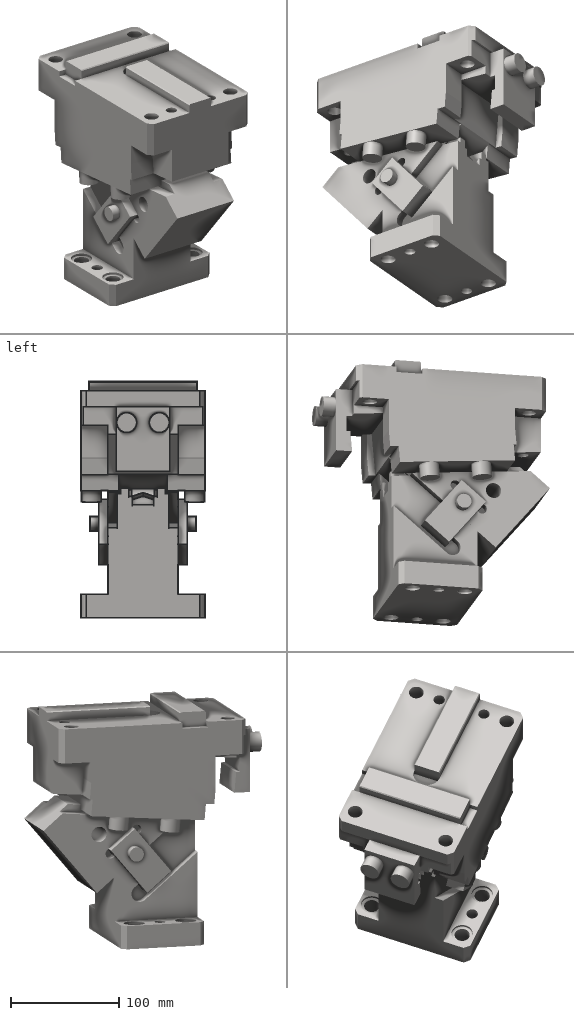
import cadquery as cq
import math


CAM_TILT = 5.0
SLOPE = 40.0
SLOPE_Z = 131.0
TOTAL_HEIGHT = 219.0
TOTAL_DEPTH = 115.0
HALF_WIDTH = TOTAL_DEPTH / 2
CORE_HALF = 32.5
NECK_HALF = 22.3
CORNER_CHAMFER = 4.8
KEY_CHAMFER = 0.9

CEILING_Z = 173.2
SPACER_Z = 149.0
GIB_TOP_Z = 133.2
GIB_BOTTOM_Z = 117.5
NECK_END_Z = 122.2
SHOULDER_Z = 114.8

BASE_LENGTH = 80.0
FOOT_HEIGHT = 22.0
TONGUE_HALF = 20.4
TONGUE_TOP = 120.0
RECESS_INNER = 23.9
RECESS_DEPTH = 36.4
RECESS_WALL_U = 66.8
RECESS_END_RADIUS = 7.9
RECESS_END_U = 96.8
BOLT_HOLE_Y = 45.1
FOOT_HOLE_SPACING = 49.5
FOOT_HOLE_RADIUS = 7.0
COUNTERBORE_RADIUS = 9.9
COUNTERBORE_DEPTH = 2.2
DOWEL_RADIUS = 5.3

GUIDE_HALF = 13.1
GUIDE_SLOT_DEPTH = 14.2
GUIDE_CORNER = 2.8
GUIDE_START_U = 17.7
GUIDE_END_U = 103.0
RAIL_HALF = 10.0
RAIL_START_U = 22.8
RAIL_RIDGE_DEPTH = 4.8
RAIL_EAVE_DEPTH = 9.2
RAIL_SEAT_DEPTH = 20.1

SLIDE_TIP_X = 148.5
SLIDE_TIP_Z = 110.8
CROSS_HOLE_X = 95.0
CROSS_HOLE_Z = 104.7
CROSS_HOLE_RADIUS = 7.2
KEEPER_START_U = 61.8
KEEPER_WIDTH = 30.0
KEEPER_TOP_V = 24.3
KEEPER_LENGTH = 54.3
KEEPER_OUTER = 41.0
PIN_END = 49.0
PIN_RADIUS = 6.8
PIN_V = 7.2
RELIEF_RADIUS = 4.5
RELIEF_OVERHANG = 1.5

PLATE_LEFT = -40.0
PLATE_RIGHT = 140.0
PLATE_TOP = 210.2
PLATE_BOTTOM = 178.0
CHEEK_LEFT = -10.0
CHEEK_RIGHT = 109.7
GIB_LEFT = -0.7
GIB_RIGHT = 108.5
PLATE_HOLE_RADIUS = 6.8
PLATE_HOLE_INSET = 14.7
SMALL_HOLE_Y = 22.3
GIB_BOLT_X = (30.2, 79.7)
GIB_BOLT_Y = 47.7
BOLT_HEAD_RADIUS = 9.2
GIB_BOLT_HEIGHT = 12.7
KEY_SEAT_Z = 205.0
CROSS_KEY_X = -2.6
CROSS_KEY_WIDTH = 24.7
CROSS_KEY_HALF = 50.2
LONG_KEY_X = 40.0
LONG_KEY_HALF = 12.5
HOOK_LEFT = -52.5
HOOK_SEAT_X = -37.5
HOOK_TOP = 195.1
HOOK_BOTTOM = 135.5
HOOK_HALF = 25.0
HOOK_NOTCH_TOP = 169.7
HOOK_NOTCH_BOTTOM = 155.0
HOOK_NOTCH_X = -42.7
HOOK_TOOTH_X = -39.2
HOOK_SCREW_Z = 180.7
HOOK_SCREW_Y = 15.1
HOOK_SCREW_HEIGHT = 11.5

RECESS_END_V = RECESS_END_RADIUS - RECESS_DEPTH
SLOT_TOP_V = RECESS_END_V + RECESS_END_RADIUS
TILT_TAN = math.tan(math.radians(CAM_TILT))
SLOPE_SIN = math.sin(math.radians(SLOPE))
SLOPE_COS = math.cos(math.radians(SLOPE))
SLOPE_TAN = SLOPE_SIN / SLOPE_COS

SLOPE_PLANE = cq.Plane(
    origin=(0, 0, SLOPE_Z), xDir=(SLOPE_COS, 0, -SLOPE_SIN), normal=(0, -1, 0)
)


def tilted(x, z_at_origin):
    """Point at x on the tilted plane that has the given height at X = 0."""
    return (x, z_at_origin + TILT_TAN * x)


def square_to_tilt(x, z_from, z_to):
    """Point on plane z_to reached square to the tilted planes from x on plane z_from."""
    shift = (z_to - z_from) * TILT_TAN / (1 + TILT_TAN**2)
    return tilted(x - shift, z_to)


def slope_meets(z_at_origin):
    """Point where the sliding plane crosses a tilted plane."""
    return tilted((SLOPE_Z - z_at_origin) / (SLOPE_TAN + TILT_TAN), z_at_origin)


def slab(points, half_width):
    """Profile in X and Z, extruded evenly to both sides of the plane of symmetry."""
    return cq.Workplane("XZ").polyline(points).close().extrude(half_width, both=True)


def span(length, half_width, bottom, top, left=0.0):
    """Box from left, centered in Y, between two heights."""
    box = cq.Workplane("XY").box(length, 2 * half_width, top - bottom, centered=(False, True, False))
    return box.translate((left, 0, bottom))


def on_both_sides(solid):
    """The solid together with its mirror image across Y = 0."""
    return solid.union(solid.mirror("XZ"))


def slope_block(u_start, u_end, v_bottom, v_top, y_inner, y_outer):
    """Block aligned with the slope on the -Y side, from y_inner out to y_outer."""
    return (
        cq.Workplane(SLOPE_PLANE)
        .workplane(offset=y_inner)
        .center((u_start + u_end) / 2, (v_bottom + v_top) / 2)
        .rect(u_end - u_start, v_top - v_bottom)
        .extrude(y_outer - y_inner)
    )


def slope_cylinder(u, v, radius, y_inner, y_outer):
    """Cylinder along Y on the -Y side, placed by its position on the slope."""
    return (
        cq.Workplane(SLOPE_PLANE)
        .workplane(offset=y_inner)
        .center(u, v)
        .circle(radius)
        .extrude(y_outer - y_inner)
    )


def slope_bar(section, u_start, u_end):
    """Bar running down the slope, with a section given as (Y, V) points."""
    start = SLOPE_PLANE.toWorldCoords((u_start, 0, 0))
    plane = cq.Plane(origin=start, xDir=(0, 1, 0), normal=(SLOPE_COS, 0, -SLOPE_SIN))
    return cq.Workplane(plane).polyline(section).close().extrude(u_end - u_start)


def slope_channel(half_width, v_bottom, v_top, u_start, u_end):
    """Rectangular bar running down the slope."""
    section = [(-half_width, v_bottom), (half_width, v_bottom), (half_width, v_top), (-half_width, v_top)]
    return slope_bar(section, u_start, u_end)


def base_foot():
    foot = span(BASE_LENGTH, HALF_WIDTH, 0, FOOT_HEIGHT).edges("|Z").chamfer(CORNER_CHAMFER)
    middle = BASE_LENGTH / 2
    bolt_points = [
        (middle + side * FOOT_HOLE_SPACING / 2, y)
        for side in (-1, 1)
        for y in (-BOLT_HOLE_Y, BOLT_HOLE_Y)
    ]
    top = foot.faces(">Z").workplane(origin=(0, 0, FOOT_HEIGHT))
    foot = top.pushPoints(bolt_points).cboreHole(
        2 * FOOT_HOLE_RADIUS, 2 * COUNTERBORE_RADIUS, COUNTERBORE_DEPTH
    )
    top = foot.faces(">Z").workplane(origin=(0, 0, FOOT_HEIGHT))
    return top.pushPoints([(middle, -BOLT_HOLE_Y), (middle, BOLT_HOLE_Y)]).hole(2 * DOWEL_RADIUS)


def base_column():
    """Column under the sliding plane, with a ledge on each side of its top tongue."""
    slope_foot = (BASE_LENGTH, SLOPE_Z - SLOPE_TAN * BASE_LENGTH)
    lower_corners = [slope_foot, (BASE_LENGTH, 0), (0, 0)]
    column = slab([(0, SHOULDER_Z), slope_meets(SHOULDER_Z)] + lower_corners, CORE_HALF)
    tongue_end = ((SLOPE_Z - TONGUE_TOP) / SLOPE_TAN, TONGUE_TOP)
    tongue = slab([(0, TONGUE_TOP), tongue_end] + lower_corners, TONGUE_HALF)
    return column.union(tongue)


def keeper_recess():
    """Side recess for the keeper, running on below into a round-ended slot for its foot."""
    outer = CORE_HALF + 2.2
    recess = slope_block(-BASE_LENGTH, RECESS_WALL_U, -RECESS_DEPTH, RECESS_DEPTH, RECESS_INNER, outer)
    slot = slope_block(0, RECESS_END_U, -RECESS_DEPTH, SLOT_TOP_V, RECESS_INNER, outer)
    slot_end = slope_cylinder(RECESS_END_U, RECESS_END_V, RECESS_END_RADIUS, RECESS_INNER, outer)
    return on_both_sides(recess.union(slot).union(slot_end))


def guide_rail():
    """Roof-shaped rail on the floor of the guide slot."""
    section = [
        (-RAIL_HALF, -RAIL_SEAT_DEPTH),
        (RAIL_HALF, -RAIL_SEAT_DEPTH),
        (RAIL_HALF, -RAIL_EAVE_DEPTH),
        (0, -RAIL_RIDGE_DEPTH),
        (-RAIL_HALF, -RAIL_EAVE_DEPTH),
    ]
    return slope_bar(section, RAIL_START_U, GUIDE_END_U)


def make_base():
    slot_start = -BASE_LENGTH
    guide_slot = slope_channel(GUIDE_HALF, -GUIDE_SLOT_DEPTH, GUIDE_SLOT_DEPTH, slot_start, GUIDE_END_U)
    rail_seat = slope_channel(RAIL_HALF, -RAIL_SEAT_DEPTH, 0, slot_start, RAIL_START_U)
    column = base_column().cut(keeper_recess()).cut(guide_slot).cut(rail_seat)
    return column.union(guide_rail()).union(base_foot())


def slide_core():
    """Flange, neck and lower block, all cut off by the sliding plane."""
    flange_left = slope_meets(GIB_TOP_Z)
    flange = slab(
        [
            flange_left,
            square_to_tilt(flange_left[0], GIB_TOP_Z, CEILING_Z),
            square_to_tilt(GIB_RIGHT, GIB_TOP_Z, CEILING_Z),
            tilted(GIB_RIGHT, GIB_TOP_Z),
        ],
        CORE_HALF,
    )
    tip_line_z = SLIDE_TIP_Z + SLOPE_TAN * SLIDE_TIP_X
    neck_end_x = (tip_line_z - NECK_END_Z) / (SLOPE_TAN + TILT_TAN)
    shoulder_end_x = (tip_line_z - SHOULDER_Z) / (SLOPE_TAN + TILT_TAN)
    neck = slab(
        [
            flange_left,
            tilted(GIB_RIGHT, GIB_TOP_Z),
            square_to_tilt(GIB_RIGHT, GIB_TOP_Z, NECK_END_Z),
            tilted(neck_end_x, NECK_END_Z),
            tilted(shoulder_end_x, SHOULDER_Z),
            slope_meets(SHOULDER_Z),
        ],
        NECK_HALF,
    )
    thickness = SLIDE_TIP_X * SLOPE_SIN + (SLIDE_TIP_Z - SLOPE_Z) * SLOPE_COS
    heel = (SLIDE_TIP_X - thickness * SLOPE_SIN, SLIDE_TIP_Z - thickness * SLOPE_COS)
    block = slab(
        [
            slope_meets(SHOULDER_Z),
            tilted(shoulder_end_x, SHOULDER_Z),
            (SLIDE_TIP_X, SLIDE_TIP_Z),
            heel,
        ],
        CORE_HALF,
    )
    return flange.union(neck).union(block)


def cross_hole():
    circle = cq.Workplane("XZ").center(CROSS_HOLE_X, CROSS_HOLE_Z).circle(CROSS_HOLE_RADIUS)
    return circle.extrude(CORE_HALF, both=True)


def keeper_reliefs():
    """Round corner reliefs beside the upper end of each keeper."""
    relief_v = KEEPER_TOP_V - RELIEF_RADIUS
    first_u = KEEPER_START_U - RELIEF_OVERHANG
    second_u = KEEPER_START_U + KEEPER_WIDTH + RELIEF_OVERHANG
    first = slope_cylinder(first_u, relief_v, RELIEF_RADIUS, RECESS_INNER, CORE_HALF)
    second = slope_cylinder(second_u, relief_v, RELIEF_RADIUS, RECESS_INNER, CORE_HALF)
    return on_both_sides(first.union(second))


def keepers():
    """Keeper plate with its pin and a foot that hooks under the base, one on each side."""
    end_u = KEEPER_START_U + KEEPER_WIDTH
    bottom_v = KEEPER_TOP_V - KEEPER_LENGTH
    plate = slope_block(KEEPER_START_U, end_u, bottom_v, KEEPER_TOP_V, CORE_HALF, KEEPER_OUTER)
    foot = slope_block(KEEPER_START_U, end_u, bottom_v, SLOT_TOP_V, RECESS_INNER, CORE_HALF)
    root = slope_block(KEEPER_START_U, end_u, 0, KEEPER_TOP_V, RECESS_INNER, CORE_HALF)
    pin = slope_cylinder(KEEPER_START_U + KEEPER_WIDTH / 2, PIN_V, PIN_RADIUS, CORE_HALF, PIN_END)
    return on_both_sides(plate.union(foot).union(root).union(pin))


def slide_guide():
    """Guide under the slide with chamfered leading corners, grooved to fit over the base rail."""
    corner_u = GUIDE_START_U + GUIDE_CORNER
    corner_y = GUIDE_HALF - GUIDE_CORNER
    plane = cq.Plane(
        origin=(0, 0, SLOPE_Z), xDir=(SLOPE_COS, 0, -SLOPE_SIN), normal=(SLOPE_SIN, 0, SLOPE_COS)
    )
    outline = [
        (GUIDE_START_U, -corner_y),
        (corner_u, -GUIDE_HALF),
        (GUIDE_END_U, -GUIDE_HALF),
        (GUIDE_END_U, GUIDE_HALF),
        (corner_u, GUIDE_HALF),
        (GUIDE_START_U, corner_y),
    ]
    guide = cq.Workplane(plane).polyline(outline).close().extrude(-RAIL_EAVE_DEPTH)
    groove = [(-RAIL_HALF, -RAIL_EAVE_DEPTH), (0, -RAIL_RIDGE_DEPTH), (RAIL_HALF, -RAIL_EAVE_DEPTH)]
    return guide.cut(slope_bar(groove, GUIDE_START_U, GUIDE_END_U))


def make_slide():
    core = slide_core().cut(cross_hole()).cut(keeper_reliefs())
    return core.union(keepers()).union(slide_guide())


def housing_plate():
    """Top plate with chamfered corners, stepped back for the hook and open where the core goes."""
    plate = span(PLATE_RIGHT - PLATE_LEFT, HALF_WIDTH, PLATE_BOTTOM, PLATE_TOP, PLATE_LEFT)
    plate = plate.edges("|Z").chamfer(CORNER_CHAMFER)
    step = span(HOOK_SEAT_X - PLATE_LEFT, HALF_WIDTH, PLATE_BOTTOM, HOOK_TOP, PLATE_LEFT)
    opening = span(CHEEK_RIGHT - HOOK_SEAT_X, CORE_HALF, PLATE_BOTTOM, KEY_SEAT_Z, HOOK_SEAT_X)
    return plate.cut(step).cut(opening)


def channel_core():
    """Center of the housing: channel ceiling, closed at the right by a stop block."""
    return slab(
        [
            (HOOK_SEAT_X, PLATE_TOP),
            tilted(HOOK_SEAT_X, CEILING_Z),
            tilted(CHEEK_RIGHT, CEILING_Z),
            tilted(CHEEK_RIGHT, GIB_TOP_Z),
            tilted(PLATE_RIGHT, GIB_TOP_Z),
            (PLATE_RIGHT, PLATE_TOP),
        ],
        CORE_HALF,
    )


def side_walls():
    """Cheeks with their tilted ends outside the channel, and the gibs that hold the slide."""
    cheeks = slab(
        [
            (CHEEK_LEFT, PLATE_TOP),
            tilted(CHEEK_LEFT, SPACER_Z),
            square_to_tilt(CHEEK_LEFT, SPACER_Z, GIB_TOP_Z),
            square_to_tilt(CHEEK_RIGHT, SPACER_Z, GIB_TOP_Z),
            tilted(CHEEK_RIGHT, SPACER_Z),
            (CHEEK_RIGHT, PLATE_TOP),
        ],
        HALF_WIDTH,
    )
    gibs = slab(
        [
            tilted(GIB_LEFT, GIB_TOP_Z),
            square_to_tilt(GIB_LEFT, GIB_TOP_Z, GIB_BOTTOM_Z),
            square_to_tilt(GIB_RIGHT, GIB_TOP_Z, GIB_BOTTOM_Z),
            tilted(GIB_RIGHT, GIB_TOP_Z),
        ],
        HALF_WIDTH,
    )
    length = PLATE_RIGHT - PLATE_LEFT
    channel = span(length, CORE_HALF, 0, PLATE_TOP, PLATE_LEFT)
    neck_gap = span(length, NECK_HALF, 0, PLATE_TOP, PLATE_LEFT)
    return cheeks.cut(channel).union(gibs.cut(neck_gap))


def gib_bolts():
    """Bolt heads standing square on the undersides of the gibs."""
    tilt = math.radians(CAM_TILT)
    down = (math.sin(tilt), 0, -math.cos(tilt))
    heads = cq.Workplane("XY")
    for bolt_x in GIB_BOLT_X:
        for y in (-GIB_BOLT_Y, GIB_BOLT_Y):
            x, z = tilted(bolt_x, GIB_BOTTOM_Z)
            plane = cq.Plane(origin=(x, y, z), xDir=(0, 1, 0), normal=down)
            heads = heads.add(cq.Workplane(plane).circle(BOLT_HEAD_RADIUS).extrude(GIB_BOLT_HEIGHT))
    return heads


def key_grooves():
    """Through groove for the cross key and round-ended groove for the long key."""
    cross = span(CROSS_KEY_WIDTH, HALF_WIDTH, KEY_SEAT_Z, PLATE_TOP, CROSS_KEY_X)
    long = span(PLATE_RIGHT - LONG_KEY_X, LONG_KEY_HALF, KEY_SEAT_Z, PLATE_TOP, LONG_KEY_X)
    round_end = (
        cq.Workplane("XY", origin=(LONG_KEY_X, 0, KEY_SEAT_Z))
        .circle(LONG_KEY_HALF)
        .extrude(PLATE_TOP - KEY_SEAT_Z)
    )
    return cross.union(long).union(round_end)


def keys():
    cross = span(CROSS_KEY_WIDTH, CROSS_KEY_HALF, KEY_SEAT_Z, TOTAL_HEIGHT, CROSS_KEY_X)
    long = span(PLATE_RIGHT - LONG_KEY_X, LONG_KEY_HALF, KEY_SEAT_Z, TOTAL_HEIGHT, LONG_KEY_X)
    cross = cross.faces(">Z").edges("|Y").chamfer(KEY_CHAMFER)
    long = long.faces(">Z").edges("|X").chamfer(KEY_CHAMFER)
    return cross.union(long)


def plate_holes():
    """Corner bolt holes, and two smaller holes through the stop block."""
    right_x = PLATE_RIGHT - PLATE_HOLE_INSET
    bolt_points = [
        (x, y)
        for x in (PLATE_LEFT + PLATE_HOLE_INSET, right_x)
        for y in (-BOLT_HOLE_Y, BOLT_HOLE_Y)
    ]
    bolts = cq.Workplane("XY").pushPoints(bolt_points).circle(PLATE_HOLE_RADIUS).extrude(PLATE_TOP)
    small_points = [(right_x, -SMALL_HOLE_Y), (right_x, SMALL_HOLE_Y)]
    small = cq.Workplane("XY").pushPoints(small_points).circle(DOWEL_RADIUS).extrude(PLATE_TOP)
    return bolts.union(small)


def hook():
    """Hook plate at the left end, with its two screw heads."""
    plate = slab(
        [
            (HOOK_LEFT, HOOK_TOP),
            (HOOK_SEAT_X, HOOK_TOP),
            (HOOK_SEAT_X, HOOK_NOTCH_TOP),
            (HOOK_NOTCH_X, HOOK_NOTCH_TOP),
            (HOOK_NOTCH_X, HOOK_NOTCH_BOTTOM),
            (HOOK_TOOTH_X, HOOK_NOTCH_BOTTOM),
            (HOOK_SEAT_X, HOOK_BOTTOM),
            (HOOK_LEFT, HOOK_BOTTOM),
        ],
        HOOK_HALF,
    )
    face = cq.Plane(origin=(HOOK_LEFT, 0, HOOK_SCREW_Z), xDir=(0, 0, 1), normal=(-1, 0, 0))
    screws = (
        cq.Workplane(face)
        .pushPoints([(0, -HOOK_SCREW_Y), (0, HOOK_SCREW_Y)])
        .circle(BOLT_HEAD_RADIUS)
        .extrude(HOOK_SCREW_HEIGHT)
    )
    return plate.union(screws)


def make_housing():
    body = housing_plate().union(channel_core()).union(side_walls())
    body = body.cut(key_grooves()).cut(plate_holes())
    for head in gib_bolts().vals():
        body = body.union(cq.Workplane(head))
    return body.union(keys()).union(hook())


base = make_base()
slide = make_slide()
housing = make_housing()

result = cq.Compound.makeCompound([part.solids().val() for part in (base, slide, housing)])